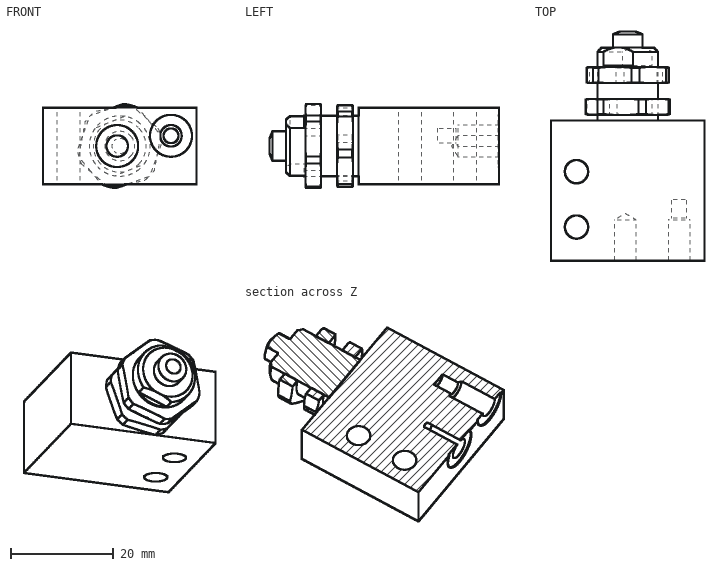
import cadquery as cq
import math

block_width = 30.0
block_length = 27.4
block_height = 15.0
cartridge_x = 15.0
block_left = -cartridge_x
port_face_y = -block_length

mount_hole_diameter = 4.5
mount_hole_side_offset = 5.0
mount_hole_distances = (6.6, 17.4)

spot_diameter = 8.2
spot_depth = 0.2
port_diameter = 4.2
port_depth = 8.0
drill_point_angle = 118.0
port_1_side_offset = 14.5
port_1_z = 0.0
port_2_side_offset = 25.0
port_1_x = block_left + port_1_side_offset
port_2_x = block_left + port_2_side_offset
port_2_z = 2.0
port_2_passage_diameter = 2.9
port_2_passage_depth = 12.0

thread_diameter = 11.83
collar_length = 14.2
collar_chamfer = 0.8
wrench_width = 10.08
wrench_flat_length = 3.5
wrench_flat_turn = -21.7
stem_diameter = 5.8
stem_end_y = 17.4
stem_tip_length = 0.6
stem_tip_face_diameter = 3.0

nut_width = 15.0
nut_corner_diameter = 16.5
nut_thickness = 3.1
nut_chamfer_height = 0.15
nut_chamfer_angle = 16.0
lower_nut_y = 1.1
upper_nut_y = 7.3
lower_nut_turn = 20.0
upper_nut_turn = 10.65


def cylinder_along_y(diameter, start_y, length, x=0.0, z=0.0):
    """Cylinder that grows from start_y towards +Y."""
    solid = cq.Solid.makeCylinder(diameter / 2, length, cq.Vector(x, start_y, z), cq.Vector(0, 1, 0))
    return cq.Workplane(obj=solid)


def turned_about_y(shape, degrees):
    """Turns a shape about the Y axis; positive turns +Z towards +X."""
    return shape.rotate((0, 0, 0), (0, 1, 0), degrees)


def port_cutter(x, z):
    """Spot face and drilled hole with a pointed end."""
    radius = port_diameter / 2
    point_length = radius / math.tan(math.radians(drill_point_angle / 2))
    spot_bottom = port_face_y + spot_depth
    hole_end = port_face_y + port_depth
    profile = (
        cq.Workplane("XY")
        .moveTo(0, port_face_y)
        .lineTo(spot_diameter / 2, port_face_y)
        .lineTo(spot_diameter / 2, spot_bottom)
        .lineTo(radius, spot_bottom)
        .lineTo(radius, hole_end)
        .lineTo(0, hole_end + point_length)
        .close()
    )
    return profile.revolve(360, (0, 0, 0), (0, 1, 0)).translate((x, 0, z))


def make_block():
    block = cq.Workplane("XY").box(block_width, block_length, block_height, centered=(False, False, True))
    block = block.translate((block_left, port_face_y, 0))
    for distance in mount_hole_distances:
        hole = cq.Workplane("XY").circle(mount_hole_diameter / 2).extrude(block_height / 2, both=True)
        hole_x = block_left + mount_hole_side_offset
        block = block.cut(hole.translate((hole_x, port_face_y + distance, 0)))
    block = block.cut(port_cutter(port_1_x, port_1_z))
    block = block.cut(port_cutter(port_2_x, port_2_z))
    passage = cylinder_along_y(
        port_2_passage_diameter, port_face_y, port_2_passage_depth, port_2_x, port_2_z
    )
    return block.cut(passage)


def make_cartridge():
    """Threaded collar with two wrench flats, and the stem on its end."""
    collar = cylinder_along_y(thread_diameter, 0, collar_length).faces(">Y").chamfer(collar_chamfer)
    flat_start = collar_length - wrench_flat_length
    for side in (-1, 1):
        cutter = cq.Workplane("XY").box(thread_diameter, wrench_flat_length, thread_diameter)
        cutter_z = side * (wrench_width + thread_diameter) / 2
        cutter = cutter.translate((0, flat_start + wrench_flat_length / 2, cutter_z))
        collar = collar.cut(turned_about_y(cutter, wrench_flat_turn))
    stem_profile = (
        cq.Workplane("XY")
        .lineTo(stem_diameter / 2, 0)
        .lineTo(stem_diameter / 2, stem_end_y - stem_tip_length)
        .lineTo(stem_tip_face_diameter / 2, stem_end_y)
        .lineTo(0, stem_end_y)
        .close()
    )
    return collar.union(stem_profile.revolve(360, (0, 0, 0), (0, 1, 0)))


def make_nut(start_y, turn):
    """Hexagon nut with rounded corners, chamfered on both faces; turn 0 has a corner facing +Z."""
    hexagon = cq.Workplane("XZ").polygon(6, nut_width, circumscribed=True).extrude(-nut_thickness)
    chamfer_radial = nut_chamfer_height / math.tan(math.radians(nut_chamfer_angle))
    envelope = cylinder_along_y(nut_corner_diameter, 0, nut_thickness)
    envelope = envelope.faces("<Y or >Y").edges().chamfer(nut_chamfer_height, chamfer_radial)
    bore = cylinder_along_y(thread_diameter, 0, nut_thickness)
    nut = hexagon.intersect(envelope).cut(bore)
    return turned_about_y(nut, turn).translate((0, start_y, 0))


block = make_block()
cartridge = make_cartridge()
nuts = [
    make_nut(start_y, turn)
    for start_y, turn in ((lower_nut_y, lower_nut_turn), (upper_nut_y, upper_nut_turn))
]

result = cq.Compound.makeCompound([block.val(), cartridge.val(), *[nut.val() for nut in nuts]])